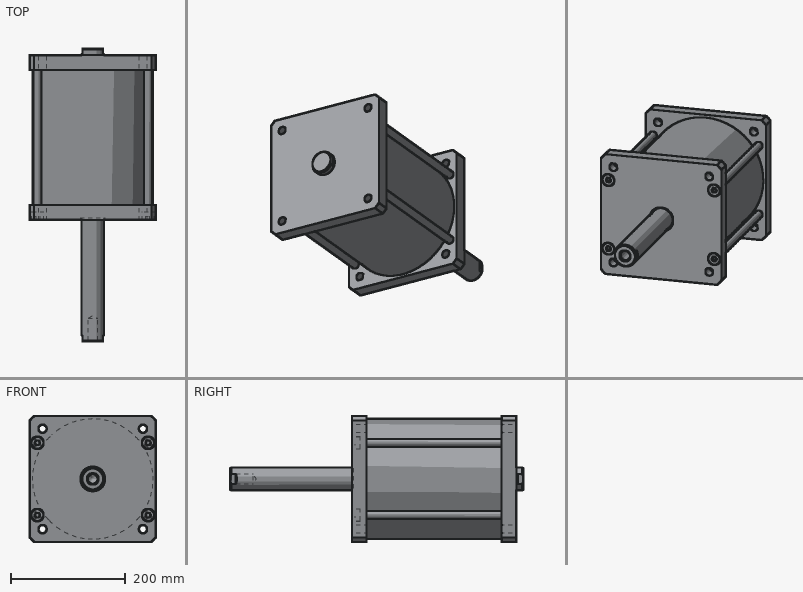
import cadquery as cq
import math


plate_side = 220.0
plate_thickness = 26.0
plate_corner_circle = 300.0
mount_hole_diameter = 14.0
mount_hole_spacing = 175.0

housing_diameter = 210.0
housing_length = 235.0

rod_diameter = 14.0
rod_spacing_x = 193.0
rod_spacing_z = 126.0
screw_head_diameter = 21.0
screw_recess_diameter = 22.0
screw_recess_depth = 14.0
screw_socket_flats = 8.0
screw_socket_depth = 6.0

shaft_diameter = 40.0
front_overhang = 212.0
rear_overhang = 12.0
shaft_chamfer_length = 2.0
shaft_chamfer_height = 1.65
shaft_recess_diameter = 43.0
shaft_recess_depth = 3.0

flat_width = 36.0
flat_length = 9.75

bore_diameter = 17.29
bore_depth = 40.0
bore_tip_angle = 118.0
bore_mouth_diameter = 20.25
bore_mouth_angle = 60.0

body_length = 2 * plate_thickness + housing_length
rear_plate_start = plate_thickness + housing_length
shaft_front = -front_overhang
shaft_rear = body_length + rear_overhang


def cylinder(diameter, start, end, x=0.0, z=0.0):
    """Cylinder parallel to Y, from Y = start to Y = end."""
    axis = cq.Vector(0, 1, 0)
    base = cq.Vector(x, start, z)
    return cq.Workplane(obj=cq.Solid.makeCylinder(diameter / 2, end - start, base, axis))


def corner_points(spacing_x, spacing_z):
    """Four points, as (X, Z), at the corners of a centred rectangle."""
    return [(sx * spacing_x / 2, sz * spacing_z / 2) for sx in (-1, 1) for sz in (-1, 1)]


def make_plate(start):
    """Square plate with its corners turned to a circle and four through holes."""
    plate = cq.Workplane("XY").box(plate_side, plate_thickness, plate_side)
    plate = plate.translate((0, start + plate_thickness / 2, 0))
    plate = plate.intersect(cylinder(plate_corner_circle, start, start + plate_thickness))
    for x, z in corner_points(mount_hole_spacing, mount_hole_spacing):
        plate = plate.cut(cylinder(mount_hole_diameter, start, start + plate_thickness, x, z))
    return plate


def make_screw_gap(x, z):
    """Thin ring of clearance around a screw head, plus its hexagon socket."""
    ring = cylinder(screw_recess_diameter, 0, screw_recess_depth, x, z)
    ring = ring.cut(cylinder(screw_head_diameter, 0, screw_recess_depth, x, z))
    socket_corners = screw_socket_flats / math.cos(math.pi / 6)
    socket = (
        cq.Workplane("XZ")
        .center(x, z)
        .polygon(6, socket_corners)
        .extrude(-screw_socket_depth)
    )
    return ring.union(socket)


def make_flat_cut(end, inward):
    """Material beside the flats of one shaft end, with 45 degree run-outs.

    The flats start at Y = end; inward is the Y direction into the shaft.
    """
    step = (shaft_diameter - flat_width) / 2
    flat_end = end + inward * flat_length
    cut = cq.Workplane("XY")
    for side in (-1, 1):
        inner = side * flat_width / 2
        outer = side * shaft_diameter / 2
        profile = [(inner, end), (inner, flat_end), (outer, flat_end + inward * step), (outer, end)]
        wedge = cq.Workplane("XY").polyline(profile).close().extrude(shaft_diameter / 2, both=True)
        cut = cut.add(wedge)
    return cut.combine()


def make_bore():
    """Blind hole with a drill-point bottom and a conical mouth."""
    bore_radius = bore_diameter / 2
    mouth_radius = bore_mouth_diameter / 2
    mouth_depth = (mouth_radius - bore_radius) / math.tan(math.radians(bore_mouth_angle / 2))
    tip_length = bore_radius / math.tan(math.radians(bore_tip_angle / 2))
    bore_end = shaft_front + bore_depth
    return (
        cq.Workplane("XY")
        .moveTo(0, shaft_front)
        .lineTo(mouth_radius, shaft_front)
        .lineTo(bore_radius, shaft_front + mouth_depth)
        .lineTo(bore_radius, bore_end)
        .lineTo(0, bore_end + tip_length)
        .close()
        .revolve(360, (0, 0, 0), (0, 1, 0))
    )


def make_shaft():
    """Shaft with chamfered ends, wrench flats and the front bore."""
    radius = shaft_diameter / 2
    end_radius = radius - shaft_chamfer_height
    shaft = (
        cq.Workplane("XY")
        .moveTo(0, shaft_front)
        .lineTo(end_radius, shaft_front)
        .lineTo(radius, shaft_front + shaft_chamfer_length)
        .lineTo(radius, shaft_rear - shaft_chamfer_length)
        .lineTo(end_radius, shaft_rear)
        .lineTo(0, shaft_rear)
        .close()
        .revolve(360, (0, 0, 0), (0, 1, 0))
    )
    shaft = shaft.cut(make_flat_cut(shaft_front, 1))
    shaft = shaft.cut(make_flat_cut(shaft_rear, -1))
    return shaft.cut(make_bore())


def make_body():
    """Plates, housing and tie rods, with the recesses in the front plate."""
    body = cylinder(housing_diameter, plate_thickness, rear_plate_start)
    body = body.union(make_plate(0)).union(make_plate(rear_plate_start))
    for x, z in corner_points(rod_spacing_x, rod_spacing_z):
        body = body.union(cylinder(rod_diameter, plate_thickness, rear_plate_start, x, z))
        body = body.cut(make_screw_gap(x, z))
    return body.cut(cylinder(shaft_recess_diameter, 0, shaft_recess_depth))


result = make_body().union(make_shaft())